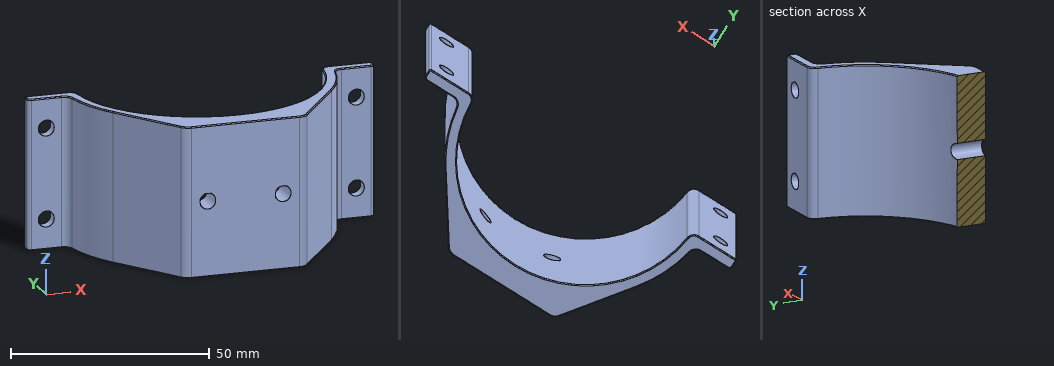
import cadquery as cq
import math

length = 92.4
depth = 38.1
height = 40.0

bore_radius = 32.6
wall = 3.0
outer_radius = bore_radius + wall
axis_y = bore_radius - 31.6
base_half_width = 15.9

flange_thickness = 3.05
flange_edge_radius = 1.0
flange_back_radius = 0.5

bend_radius = 2.2
base_corner_radius = 3.0
rim_chamfer = 0.3

hole_diameter = 4.2
flange_hole_spacing_x = 82.5
flange_hole_spacing_z = 24.0
base_hole_spacing = 20.05


def circle_x(radius, y):
    """Half width at height y of a circle about the bore axis."""
    return math.sqrt(radius**2 - (y - axis_y) ** 2)


def circle_point(radius, angle):
    """Point on a circle about the bore axis, angle measured below +X."""
    return (radius * math.cos(angle), axis_y - radius * math.sin(angle))


def mirrored(point):
    return (-point[0], point[1])


def make_profile():
    corner = (base_half_width, -depth)
    corner_drop = axis_y + depth
    corner_distance = math.hypot(base_half_width, corner_drop)
    tangent_angle = math.atan2(corner_drop, base_half_width) - math.acos(outer_radius / corner_distance)
    root_angle = math.asin((axis_y + flange_thickness) / outer_radius)
    tangent = circle_point(outer_radius, tangent_angle)
    wall_middle = circle_point(outer_radius, (tangent_angle + root_angle) / 2)
    root = (circle_x(outer_radius, -flange_thickness), -flange_thickness)
    tip_front = (length / 2, -flange_thickness)
    tip_back = (length / 2, 0)
    bore_edge = (circle_x(bore_radius, 0), 0)
    bore_bottom = (0, axis_y - bore_radius)

    return (
        cq.Workplane("XY", origin=(0, 0, -height / 2))
        .moveTo(*mirrored(corner))
        .lineTo(*corner)
        .lineTo(*tangent)
        .threePointArc(wall_middle, root)
        .lineTo(*tip_front)
        .lineTo(*tip_back)
        .lineTo(*bore_edge)
        .threePointArc(bore_bottom, mirrored(bore_edge))
        .lineTo(*mirrored(tip_back))
        .lineTo(*mirrored(tip_front))
        .lineTo(*mirrored(root))
        .threePointArc(mirrored(wall_middle), mirrored(tangent))
        .close()
    ), corner, root, tip_front, tip_back, bore_edge


def round_edge_pair(body, point, radius):
    """Fillet the vertical edges at a profile point and at its mirror image."""
    for x, y in (point, mirrored(point)):
        body = body.edges(cq.selectors.NearestToPointSelector((x, y, 0))).fillet(radius)
    return body


def make_body():
    profile, corner, root, tip_front, tip_back, bore_edge = make_profile()
    body = profile.extrude(height)
    body = round_edge_pair(body, corner, base_corner_radius)
    body = round_edge_pair(body, root, bend_radius)
    body = round_edge_pair(body, bore_edge, bend_radius)
    body = round_edge_pair(body, tip_front, flange_edge_radius)
    body = round_edge_pair(body, tip_back, flange_back_radius)
    return body.faces("|Z").chamfer(rim_chamfer)


def make_holes():
    flange_holes = (
        cq.Workplane("XZ")
        .rarray(flange_hole_spacing_x, flange_hole_spacing_z, 2, 2)
        .circle(hole_diameter / 2)
        .extrude(depth)
    )
    base_holes = (
        cq.Workplane("XZ")
        .rarray(base_hole_spacing, 0.9, 2, 1)
        .circle(hole_diameter / 2)
        .extrude(depth)
    )
    return flange_holes.union(base_holes)


result = make_body().cut(make_holes())